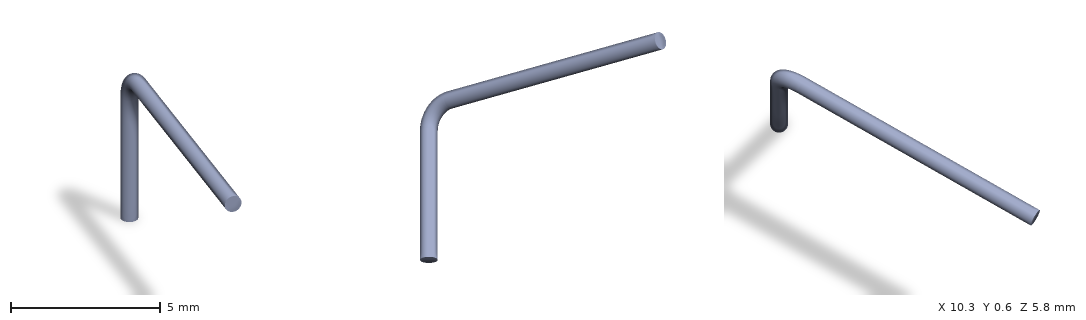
import cadquery as cq

overall_length = 10.3
overall_height = 5.8
wire_diameter = 0.6
bend_radius = 0.9

wire_radius = wire_diameter / 2
long_leg = overall_length - wire_radius - bend_radius
short_leg = overall_height - wire_radius - bend_radius

centreline = (
    cq.Workplane("XZ")
    .lineTo(0, short_leg)
    .tangentArcPoint((bend_radius, bend_radius))
    .line(long_leg, 0)
)

result = cq.Workplane("XY").circle(wire_radius).sweep(centreline)